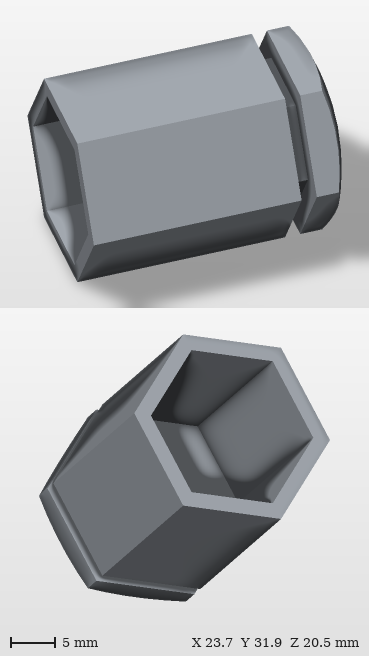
import cadquery as cq
import math

BODY_FLATS = 20.5
BORE_FLATS = 17.0
NECK_FLATS = 15.0

TOTAL_LENGTH = 31.92
BODY_LENGTH = 24.6
NECK_LENGTH = 1.8
DOME_RADIUS = 25.5

WALL = (BODY_FLATS - BORE_FLATS) / 2
BORE_DEPTH = BODY_LENGTH - WALL
HEAD_START = BODY_LENGTH + NECK_LENGTH
HEAD_LENGTH = TOTAL_LENGTH - HEAD_START


def hex_prism(across_flats, start, length):
    """Hexagonal prism running along +Y from Y = start."""
    across_corners = across_flats / math.cos(math.pi / 6)
    return (
        cq.Workplane("XZ", origin=(0, start, 0))
        .polygon(6, across_corners)
        .extrude(-length)
    )


def domed_head():
    """Hexagonal head whose end is cut to a shallow spherical crown."""
    blank = hex_prism(BODY_FLATS, HEAD_START, HEAD_LENGTH)
    sphere_center = (0, TOTAL_LENGTH - DOME_RADIUS, 0)
    sphere = cq.Workplane("XY", origin=sphere_center).sphere(DOME_RADIUS)
    return blank.intersect(sphere)


def hollow_body():
    """Hexagonal sleeve, open at Y = 0 and closed at the neck."""
    body = hex_prism(BODY_FLATS, 0, BODY_LENGTH)
    return body.cut(hex_prism(BORE_FLATS, 0, BORE_DEPTH))


neck = hex_prism(NECK_FLATS, BODY_LENGTH, NECK_LENGTH)
result = hollow_body().union(neck).union(domed_head())